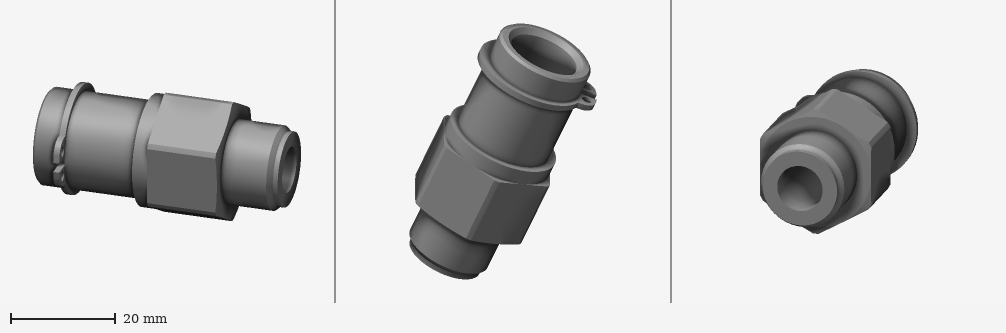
import cadquery as cq
import math

TOTAL_LENGTH = 48.5
LAND_DIA = 19.0
LAND_CHAMFER = 0.5
GROOVE_DIA = 18.0
GROOVE_START = 5.2
GROOVE_END = 6.5
COLLAR_DIA = 22.0
COLLAR_START = 20.5
HEX_START = 23.5
HEX_LENGTH = 14.0
HEX_END = HEX_START + HEX_LENGTH
THREAD_DIA = 16.5
THREAD_END = 46.5
THREAD_CHAMFER_LENGTH = 1.0
TIP_DIA = 14.7

HEX_SIDES = 6
ACROSS_FLATS = 22.0
CORNER_DIA = 24.8
HEX_CHAMFER_DEPTH = 0.3

BORE_DIA = 9.0
SOCKET_DIA = 13.6
SOCKET_MOUTH_DIA = 15.6
SOCKET_MOUTH_DEPTH = 1.0
SOCKET_DEPTH = 20.0
SOCKET_FLOOR_ANGLE = 70.0

RING_THICKNESS = 1.2
RING_OUTER_RADIUS = 10.85
RING_OFFSET = 0.6
RING_GAP = 1.9
LUG_OUTER_RADIUS = 12.88
LUG_CORNER_Z = 2.63
LUG_SHOULDER_MID_Y = -11.5
LUG_SHOULDER_MID_Z = 4.35
LUG_SHOULDER_END_Y = -9.6
LUG_SHOULDER_END_Z = 5.03
LUG_ROOT_Z = 5.06
LUG_HOLE_DIA = 2.0
LUG_HOLE_Y = -10.78
LUG_HOLE_Z = 2.6


def revolve_about_x(points):
    """Revolve a closed (x, radius) outline about the X axis."""
    return cq.Workplane("XY").polyline(points).close().revolve(360, (0, 0, 0), (1, 0, 0))


def disc(start, length, diameter):
    """Solid cylinder along X."""
    return cq.Workplane("YZ").workplane(offset=start).circle(diameter / 2).extrude(length)


def make_body():
    """Solid turned profile without the hexagon and the bore."""
    land_r = LAND_DIA / 2
    groove_r = GROOVE_DIA / 2
    collar_r = COLLAR_DIA / 2
    thread_r = THREAD_DIA / 2
    tip_r = TIP_DIA / 2
    chamfer_end = THREAD_END + THREAD_CHAMFER_LENGTH
    return revolve_about_x([
        (0, 0),
        (0, land_r - LAND_CHAMFER),
        (LAND_CHAMFER, land_r),
        (GROOVE_START, land_r),
        (GROOVE_START, groove_r),
        (GROOVE_END, groove_r),
        (GROOVE_END, land_r),
        (COLLAR_START, land_r),
        (COLLAR_START, collar_r),
        (HEX_START, collar_r),
        (HEX_START, thread_r),
        (THREAD_END, thread_r),
        (chamfer_end, tip_r),
        (TOTAL_LENGTH, tip_r),
        (TOTAL_LENGTH, 0),
    ])


def make_hexagon():
    """Wrench hexagon with two corners pointing along Z."""
    corner_to_corner = ACROSS_FLATS / math.cos(math.pi / HEX_SIDES)
    prism = (
        cq.Workplane("YZ")
        .workplane(offset=HEX_START)
        .transformed(rotate=(0, 0, 90))
        .polygon(HEX_SIDES, corner_to_corner)
        .extrude(HEX_LENGTH)
    )
    envelope = revolve_about_x([
        (HEX_START, 0),
        (HEX_START, CORNER_DIA / 2),
        (HEX_END - HEX_CHAMFER_DEPTH, CORNER_DIA / 2),
        (HEX_END, ACROSS_FLATS / 2),
        (HEX_END, 0),
    ])
    return prism.intersect(envelope)


def make_bore():
    """Solid that fills the socket and the through hole."""
    bore_r = BORE_DIA / 2
    socket_r = SOCKET_DIA / 2
    floor_length = (socket_r - bore_r) / math.tan(math.radians(SOCKET_FLOOR_ANGLE))
    return revolve_about_x([
        (0, 0),
        (0, SOCKET_MOUTH_DIA / 2),
        (SOCKET_MOUTH_DEPTH, socket_r),
        (SOCKET_DEPTH, socket_r),
        (SOCKET_DEPTH + floor_length, bore_r),
        (TOTAL_LENGTH, bore_r),
        (TOTAL_LENGTH, 0),
    ])


def make_retaining_ring():
    """Open ring seated in the groove, against its collar-side wall."""
    start = GROOVE_END - RING_THICKNESS
    plane = cq.Workplane("YZ").workplane(offset=start)
    half_gap = RING_GAP / 2

    ring = plane.center(RING_OFFSET, 0).circle(RING_OUTER_RADIUS).extrude(RING_THICKNESS)

    tip_y = -math.sqrt(LUG_OUTER_RADIUS**2 - half_gap**2)
    corner_y = -math.sqrt(LUG_OUTER_RADIUS**2 - LUG_CORNER_Z**2)
    outer_mid_z = (half_gap + LUG_CORNER_Z) / 2
    outer_mid_y = -math.sqrt(LUG_OUTER_RADIUS**2 - outer_mid_z**2)
    root_y = RING_OFFSET - math.sqrt(RING_OUTER_RADIUS**2 - LUG_ROOT_Z**2)
    for side in (1, -1):
        lug = (
            plane.moveTo(root_y, 0)
            .lineTo(tip_y, 0)
            .lineTo(tip_y, side * half_gap)
            .threePointArc((outer_mid_y, side * outer_mid_z), (corner_y, side * LUG_CORNER_Z))
            .threePointArc(
                (LUG_SHOULDER_MID_Y, side * LUG_SHOULDER_MID_Z),
                (LUG_SHOULDER_END_Y, side * LUG_SHOULDER_END_Z),
            )
            .lineTo(root_y, side * LUG_ROOT_Z)
            .close()
            .extrude(RING_THICKNESS)
        )
        ring = ring.union(lug)

    gap = (
        plane.center(-LUG_OUTER_RADIUS, 0)
        .rect(LUG_OUTER_RADIUS, RING_GAP)
        .extrude(RING_THICKNESS)
    )
    lug_holes = (
        plane.pushPoints([(LUG_HOLE_Y, LUG_HOLE_Z), (LUG_HOLE_Y, -LUG_HOLE_Z)])
        .circle(LUG_HOLE_DIA / 2)
        .extrude(RING_THICKNESS)
    )
    core = disc(start, RING_THICKNESS, GROOVE_DIA)
    return ring.cut(gap).cut(lug_holes).cut(core)


result = make_body().union(make_hexagon()).union(make_retaining_ring()).cut(make_bore())